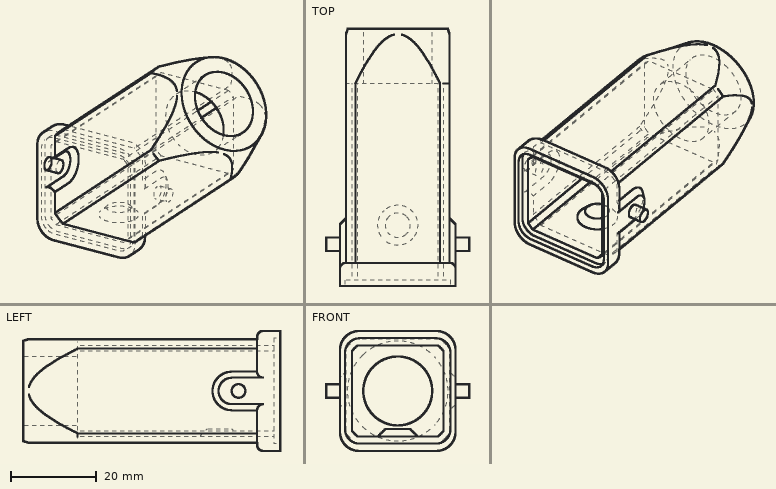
import cadquery as cq

length = 60.0
body_side = 24.2
corner_radius = 15.6
cable_end_radius = 11.7
taper_length = 12.7

collar_width = 27.0
collar_height = 28.0
collar_length = 5.45
collar_corner_radius = 4.5
collar_edge_radius = 1.45

wall = 1.45
seal_recess_side = 24.6
seal_recess_depth = 1.5
seal_recess_corner_radius = 3.5
cavity_side = body_side - 2 * wall
cavity_corner_radius = corner_radius - wall
cavity_depth = length - taper_length
cable_hole_diameter = 16.0

pin_span = 33.4
pin_diameter = 3.2
pin_y = 9.8
lug_base_radius = 4.5
lug_center_y = 11.35
lug_flank_angle = 45.0
lug_height = (collar_width - body_side) / 2

boss_base_diameter = 9.35
boss_height = 1.8
boss_flank_angle = 45.0
boss_y = 14.2


def square_bar(side, depth):
    """Square bar along +Y from y = 0."""
    return cq.Workplane("XZ").rect(side, side).extrude(-depth)


def rounded_bar(width, height, depth, edge_radius):
    """Bar along +Y from y = 0 with rounded long edges."""
    bar = cq.Workplane("XZ").rect(width, height).extrude(-depth)
    return bar.edges("|Y").fillet(edge_radius)


def tapered_body():
    """Square bar trimmed by a cylinder that narrows to a cone at the cable end."""
    envelope = (
        cq.Workplane("XY")
        .lineTo(corner_radius, 0)
        .lineTo(corner_radius, length - taper_length)
        .lineTo(cable_end_radius, length)
        .lineTo(0, length)
        .close()
        .revolve(360, (0, 0, 0), (0, 1, 0))
    )
    return square_bar(body_side, length).intersect(envelope)


def collar():
    """Rounded rectangular collar with its back edge rounded over."""
    block = rounded_bar(collar_width, collar_height, collar_length, collar_corner_radius)
    return block.faces(">Y").edges().fillet(collar_edge_radius)


def lug_with_pin():
    """Round-ended lug with sloping flanks flush with the collar, and its pin, on the +X side."""
    lug = (
        cq.Workplane("YZ", origin=(body_side / 2, 0, 0))
        .moveTo(0, -lug_base_radius)
        .lineTo(lug_center_y, -lug_base_radius)
        .threePointArc((lug_center_y + lug_base_radius, 0), (lug_center_y, lug_base_radius))
        .lineTo(0, lug_base_radius)
        .close()
        .extrude(lug_height, taper=lug_flank_angle)
    )
    pin_length = (pin_span - body_side) / 2
    pin = (
        cq.Workplane("YZ", origin=(body_side / 2, pin_y, 0))
        .circle(pin_diameter / 2)
        .extrude(pin_length)
    )
    return lug.union(pin)


def floor_boss():
    """Frustum standing on the cavity floor."""
    return (
        cq.Workplane("XY", origin=(0, boss_y, -cavity_side / 2))
        .circle(boss_base_diameter / 2)
        .extrude(boss_height, taper=boss_flank_angle)
    )


def cavity():
    """Space inside the hood, leaving the floor boss standing."""
    corner_cylinder = cq.Workplane("XZ").circle(cavity_corner_radius).extrude(-cavity_depth)
    return square_bar(cavity_side, cavity_depth).intersect(corner_cylinder).cut(floor_boss())


side_fittings = lug_with_pin()
shell = (
    tapered_body()
    .union(collar())
    .union(side_fittings)
    .union(side_fittings.mirror("YZ"))
)

seal_recess = rounded_bar(
    seal_recess_side, seal_recess_side, seal_recess_depth, seal_recess_corner_radius
)
cable_hole = cq.Workplane("XZ").circle(cable_hole_diameter / 2).extrude(-length)

result = shell.cut(seal_recess).cut(cavity()).cut(cable_hole)